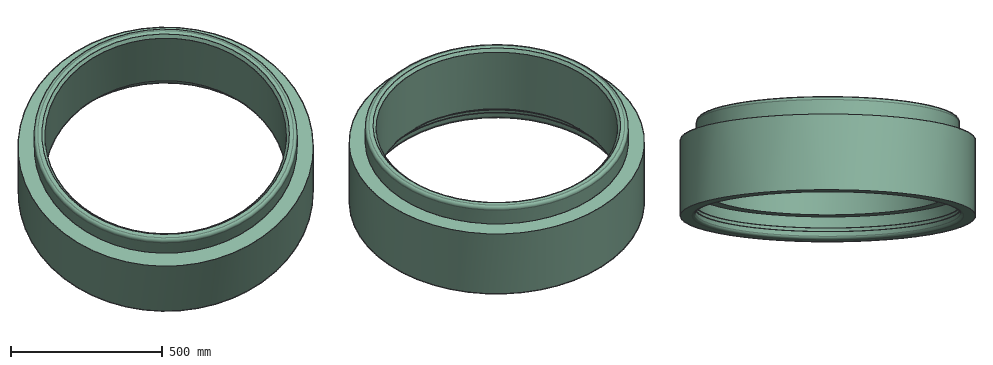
import cadquery as cq

body_diameter = 976.0
total_height = 324.0
shoulder_height = 254.0
rim_diameter = 870.0
bore_diameter = 798.0
rim_fillet_radius = 12.0
bore_chamfer = 10.0

socket_depth = 75.0
socket_diameter = 878.0
socket_mouth_radius = 10.0

groove_bottom = 26.0
groove_top = 38.0
groove_depth = 2.5

body_radius = body_diameter / 2
rim_radius = rim_diameter / 2
bore_radius = bore_diameter / 2
socket_radius = socket_diameter / 2
groove_radius = socket_radius + groove_depth


def stepped_ring():
    """Thick ring with a raised rim on top and a socket below, revolved about Z."""
    profile = (
        cq.Workplane("XZ")
        .moveTo(socket_radius + socket_mouth_radius, 0)
        .lineTo(body_radius, 0)
        .lineTo(body_radius, shoulder_height)
        .lineTo(rim_radius, shoulder_height)
        .lineTo(rim_radius, total_height - rim_fillet_radius)
        .radiusArc((rim_radius - rim_fillet_radius, total_height), -rim_fillet_radius)
        .lineTo(bore_radius + bore_chamfer, total_height)
        .lineTo(bore_radius, total_height - bore_chamfer)
        .lineTo(bore_radius, socket_depth)
        .lineTo(socket_radius, socket_depth)
        .lineTo(socket_radius, socket_mouth_radius)
        .radiusArc((socket_radius + socket_mouth_radius, 0), -socket_mouth_radius)
        .close()
    )
    return profile.revolve(360, (0, 0, 0), (0, 1, 0))


def seal_groove():
    """Annular cutter for the groove around the socket wall."""
    return (
        cq.Workplane("XY")
        .workplane(offset=groove_bottom)
        .circle(groove_radius)
        .circle(bore_radius)
        .extrude(groove_top - groove_bottom)
    )


result = stepped_ring().cut(seal_groove())